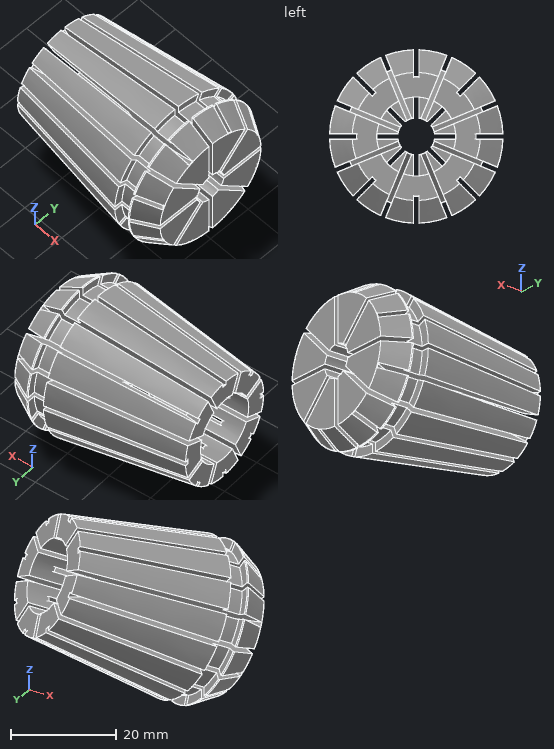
import cadquery as cq
import math

LENGTH = 40.0
MAX_RADIUS = 33.0 / 2
TAPER_ANGLE = 8.0
HEAD_ANGLE = 30.0

GROOVE_START = 30.8
GROOVE_WIDTH = 3.65
GROOVE_RADIUS = 14.6
LAND_WIDTH = 0.3
GROOVE_END = GROOVE_START + GROOVE_WIDTH
HEAD_TAPER_START = GROOVE_END + LAND_WIDTH

RELIEF_RADIUS = 15.0 / 2
RELIEF_DEPTH = LENGTH / 2
GRIP_RADIUS = 7.0 / 2

SLOTS_PER_END = 8
SLOT_PITCH = 360.0 / SLOTS_PER_END
SLOT_WIDTH = 1.0
SAW_RADIUS = 44.0
SLOT_TOP = MAX_RADIUS + SLOT_WIDTH

HEAD_SLOT_RUNOUT_RADIUS = 11.35
HEAD_SLOT_INNER_X = 4.9

SMALL_END_SLOT_RUNOUT_RADIUS = 13.6
SMALL_END_SLOT_INNER_X = 29.1


def make_body():
    """Revolve the solid outline of the collet about the X axis."""
    small_end_radius = MAX_RADIUS - GROOVE_START * math.tan(math.radians(TAPER_ANGLE))
    head_taper_length = LENGTH - HEAD_TAPER_START
    head_end_radius = MAX_RADIUS - head_taper_length * math.tan(math.radians(HEAD_ANGLE))
    outline = [
        (0, RELIEF_RADIUS),
        (0, small_end_radius),
        (GROOVE_START, MAX_RADIUS),
        (GROOVE_START, GROOVE_RADIUS),
        (GROOVE_END, GROOVE_RADIUS),
        (GROOVE_END, MAX_RADIUS),
        (HEAD_TAPER_START, MAX_RADIUS),
        (LENGTH, head_end_radius),
        (LENGTH, GRIP_RADIUS),
        (RELIEF_DEPTH, GRIP_RADIUS),
        (RELIEF_DEPTH, RELIEF_RADIUS),
    ]
    return cq.Workplane("XY").polyline(outline).close().revolve(360, (0, 0), (1, 0))


def saw_floor_middle(inner, outer):
    """Middle point of the saw arc joining two (x, radius) points, bulging toward the axis."""
    run = outer[0] - inner[0]
    rise = outer[1] - inner[1]
    chord = math.hypot(run, rise)
    sagitta = SAW_RADIUS - math.sqrt(SAW_RADIUS**2 - (chord / 2) ** 2)
    x = (inner[0] + outer[0]) / 2 + sagitta * rise / chord * math.copysign(1, run)
    radius = (inner[1] + outer[1]) / 2 - sagitta * abs(run) / chord
    return x, radius


def make_slot(inner, outer, open_end_x):
    """One slot in the XY plane, open at open_end_x, its floor an arc from inner to outer."""
    return (
        cq.Workplane("XY")
        .moveTo(open_end_x, 0)
        .lineTo(inner[0], 0)
        .lineTo(*inner)
        .threePointArc(saw_floor_middle(inner, outer), outer)
        .lineTo(outer[0], SLOT_TOP)
        .lineTo(open_end_x, SLOT_TOP)
        .close()
        .extrude(SLOT_WIDTH / 2, both=True)
    )


def cut_slots(body, slot, first_angle):
    """Cut a ring of equally spaced slots about the X axis."""
    for index in range(SLOTS_PER_END):
        angle = first_angle + index * SLOT_PITCH
        body = body.cut(slot.rotate((0, 0, 0), (1, 0, 0), angle))
    return body


head_slot = make_slot(
    inner=(HEAD_SLOT_INNER_X, RELIEF_RADIUS),
    outer=(0, HEAD_SLOT_RUNOUT_RADIUS),
    open_end_x=LENGTH,
)
small_end_slot = make_slot(
    inner=(SMALL_END_SLOT_INNER_X, GRIP_RADIUS),
    outer=(LENGTH, SMALL_END_SLOT_RUNOUT_RADIUS),
    open_end_x=0,
)

result = make_body()
result = cut_slots(result, head_slot, first_angle=0)
result = cut_slots(result, small_end_slot, first_angle=SLOT_PITCH / 2)